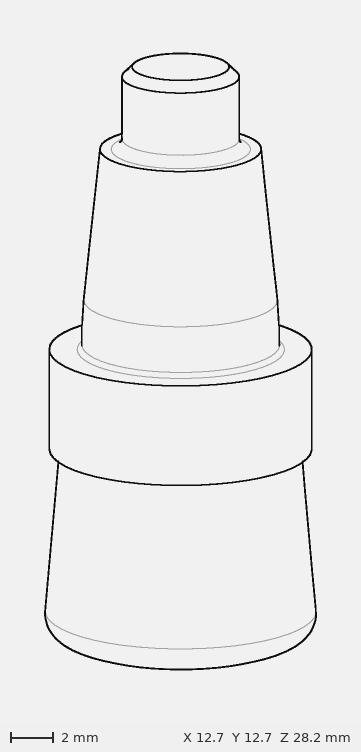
import cadquery as cq
import math

total_height = 28.2
stem_base_z = 24.2
taper_bottom_z = 16.85
collar_top_z = 14.45
collar_bottom_z = 9.6
knob_widest_z = 1.7
crown_edge_z = 0.5

stem_radius = 5.5 / 2
stem_chamfer = 0.48
stem_fillet = 0.5
taper_top_radius = 3.78
shaft_radius = 4.62
taper_bottom_radius = 4.55
shaft_fillet = 0.23
collar_radius = 12.3 / 2

knob_neck_radius = 5.67
knob_widest_radius = 6.35
crown_edge_radius = 5.65
end_flat_radius = 3.1


def fillet_midpoint(corner_radius, corner_z, fillet):
    """Middle of a concave quarter-circle fillet between a wall and the floor below it."""
    inset = fillet * (1 - math.sqrt(0.5))
    return corner_radius + inset, corner_z + inset


def make_plunger():
    """Stem, tapered shaft and collar, revolved about Z."""
    taper_run = (taper_bottom_radius - taper_top_radius, taper_bottom_z - stem_base_z)
    return (
        cq.Workplane("XZ")
        .moveTo(0, collar_bottom_z)
        .lineTo(0, total_height)
        .lineTo(stem_radius - stem_chamfer, total_height)
        .lineTo(stem_radius, total_height - stem_chamfer)
        .lineTo(stem_radius, stem_base_z + stem_fillet)
        .threePointArc(
            fillet_midpoint(stem_radius, stem_base_z, stem_fillet),
            (stem_radius + stem_fillet, stem_base_z),
        )
        .lineTo(taper_top_radius, stem_base_z)
        .line(*taper_run)
        .tangentArcPoint((shaft_radius, collar_top_z + shaft_fillet), relative=False)
        .threePointArc(
            fillet_midpoint(shaft_radius, collar_top_z, shaft_fillet),
            (shaft_radius + shaft_fillet, collar_top_z),
        )
        .lineTo(collar_radius, collar_top_z)
        .lineTo(collar_radius, collar_bottom_z)
        .close()
        .revolve(360, (0, 0), (0, 1))
    )


def make_knob():
    """Flared grip under the collar, ending in a rounded rim, a crown and a flat."""
    return (
        cq.Workplane("XZ")
        .moveTo(0, 0)
        .lineTo(end_flat_radius, 0)
        .tangentArcPoint((crown_edge_radius, crown_edge_z), relative=False)
        .tangentArcPoint((knob_widest_radius, knob_widest_z), relative=False)
        .lineTo(knob_neck_radius, collar_bottom_z)
        .lineTo(0, collar_bottom_z)
        .close()
        .revolve(360, (0, 0), (0, 1))
    )


plunger = make_plunger()
knob = make_knob()

result = cq.Compound.makeCompound([plunger.val(), knob.val()])